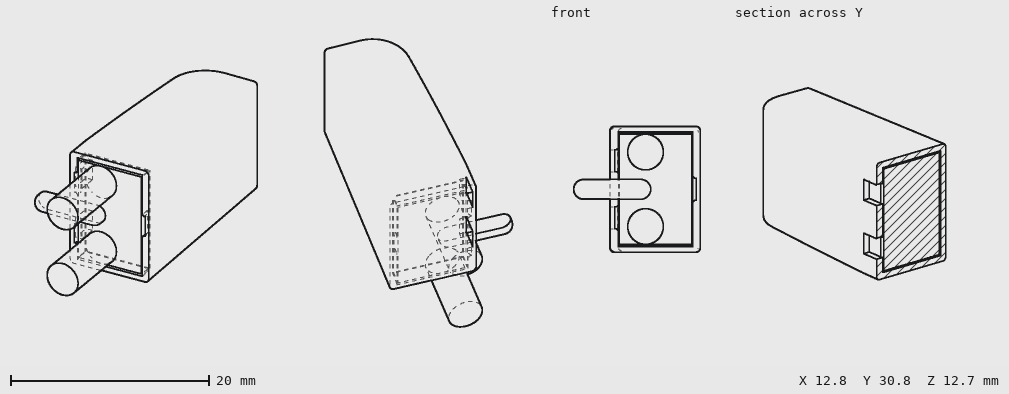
import cadquery as cq
import math

HOUSING_WIDTH = 9.13
HOUSING_HEIGHT = 12.7
HOUSING_LENGTH = 22.9
DRAFT = math.tan(math.radians(0.5))
BAND_LENGTH = 3.23
CROWN_SHIFT = 1.3
CROWN_BULGE = 0.12
NOSE_RADIUS = 4.0
END_FLAT_X = 5.1
END_DROP = 0.1
EDGE_RADIUS = 0.45

OPENING_X = 0.85
OPENING_WIDTH = 7.5
OPENING_HEIGHT = 11.55
SLIT = 0.1
LEAD_IN = 0.15
LEAD_IN_DEPTH = 0.92
GAP_DEPTH = 1.55

WINDOW_START = 1.1
WINDOW_HEIGHT = 2.2
WINDOW_DEPTH = 0.75
LATCH_OFFSET = 2.9
NOTCH_REACH = 0.37
NOTCH_HEIGHT = 2.58
NOTCH_CORNER = 0.18
LATCH_RAMP_LENGTH = 0.8
BACK_RAMP_LENGTH = 1.32

PIN_DIAMETER = 3.6
PIN_LENGTH = 7.85
PIN_X = 3.6
PIN_PITCH = 7.5
KEY_START_X = -3.65
KEY_LENGTH = 7.78
KEY_WIDTH = 2.0
KEY_STRAIGHT = 0.5

OPENING_END_X = OPENING_X + OPENING_WIDTH


def make_housing():
    """Drafted body with a crowned -X face and a large rounded nose."""
    lean = math.atan2(CROWN_SHIFT, HOUSING_LENGTH - BAND_LENGTH)
    crown_mid = (
        CROWN_SHIFT / 2 - CROWN_BULGE * math.cos(lean),
        (BAND_LENGTH + HOUSING_LENGTH) / 2 + CROWN_BULGE * math.sin(lean),
    )
    far_x = HOUSING_WIDTH - HOUSING_LENGTH * DRAFT
    prism = (
        cq.Workplane("XY")
        .moveTo(0, 0)
        .lineTo(0, BAND_LENGTH)
        .threePointArc(crown_mid, (CROWN_SHIFT, HOUSING_LENGTH))
        .lineTo(END_FLAT_X, HOUSING_LENGTH)
        .lineTo(far_x, HOUSING_LENGTH - END_DROP)
        .lineTo(HOUSING_WIDTH, 0)
        .close()
        .extrude(HOUSING_HEIGHT / 2, both=True)
    )
    nose_corner = cq.selectors.NearestToPointSelector((CROWN_SHIFT, HOUSING_LENGTH, 0))
    prism = prism.edges("|Z").edges(nose_corner).fillet(NOSE_RADIUS)

    half = HOUSING_HEIGHT / 2
    far_half = half - HOUSING_LENGTH * DRAFT
    wedge = (
        cq.Workplane("YZ")
        .polyline([(0, -half), (HOUSING_LENGTH, -far_half), (HOUSING_LENGTH, far_half), (0, half)])
        .close()
        .extrude(HOUSING_WIDTH)
    )
    housing = prism.intersect(wedge)
    far_corner = cq.selectors.NearestToPointSelector((far_x, HOUSING_LENGTH, 0))
    rims = housing.faces("<Z or >Z").edges("not <Y")
    return housing.newObject(rims.vals() + housing.edges(far_corner).vals()).fillet(EDGE_RADIUS)


def make_gap():
    """Slit around the plug, opened up at the mouth by sloping lead-ins above and below it."""
    center_x = OPENING_X + OPENING_WIDTH / 2
    plug_half = OPENING_HEIGHT / 2 - LEAD_IN - SLIT
    slit_half = plug_half + SLIT
    lead_in = [(0, OPENING_HEIGHT / 2), (LEAD_IN_DEPTH, slit_half), (GAP_DEPTH, slit_half)]
    mirrored = [(y, -z) for y, z in reversed(lead_in)]
    opening = (
        cq.Workplane("YZ", origin=(OPENING_X, 0, 0))
        .polyline(lead_in + mirrored)
        .close()
        .extrude(OPENING_WIDTH)
    )
    plug = cq.Workplane("XY").box(OPENING_WIDTH - 2 * SLIT, GAP_DEPTH, 2 * plug_half)
    return opening.cut(plug.translate((center_x, GAP_DEPTH / 2, 0)))


def make_notch(wall_x, direction, ramp_length):
    """Bevelled mouth notch cut outwards (+1 for +X, -1 for -X), sloping back in to the slit."""
    half = NOTCH_HEIGHT / 2
    outer_x = wall_x + direction * NOTCH_REACH
    bevel_x = outer_x - direction * NOTCH_REACH / 2
    inner_x = wall_x - direction * SLIT
    bevel = [(bevel_x, half - NOTCH_CORNER), (outer_x, half - NOTCH_CORNER)]
    side = [(inner_x, half), (wall_x, half)] + bevel
    mirrored = [(x, -z) for x, z in reversed(side)]
    outline = cq.Workplane("XZ").polyline(side + mirrored).close().extrude(-ramp_length)
    ramp = (
        cq.Workplane("XY")
        .polyline([(inner_x, 0), (outer_x, 0), (inner_x, ramp_length)])
        .close()
        .extrude(half, both=True)
    )
    return outline.intersect(ramp)


def make_window():
    """Latch window in the -X face, ending where the straight band ends."""
    length = BAND_LENGTH - WINDOW_START
    return cq.Workplane("XY").box(WINDOW_DEPTH, length, WINDOW_HEIGHT).translate(
        (WINDOW_DEPTH / 2, WINDOW_START + length / 2, 0)
    )


def make_key():
    """Bar with a half-round top and ball-shaped ends, standing on the mouth."""
    radius = KEY_WIDTH / 2
    center_x = KEY_START_X + KEY_LENGTH / 2
    span = KEY_LENGTH - KEY_WIDTH
    start_x = center_x - span / 2
    end_x = center_x + span / 2
    bend = radius * math.sqrt(0.5)
    base = cq.Workplane("XZ").center(center_x, 0).slot2D(KEY_LENGTH, KEY_WIDTH).extrude(KEY_STRAIGHT)
    rounded_top = (
        cq.Workplane("XY", origin=(0, -KEY_STRAIGHT, 0))
        .moveTo(KEY_START_X, 0)
        .threePointArc((start_x - bend, -bend), (start_x, -radius))
        .lineTo(end_x, -radius)
        .threePointArc((end_x + bend, -bend), (KEY_START_X + KEY_LENGTH, 0))
        .close()
        .revolve(180, (0, 0), (1, 0))
    )
    rounded_top = rounded_top.rotate((0, -KEY_STRAIGHT, 0), (1, -KEY_STRAIGHT, 0), -90)
    return base.union(rounded_top)


result = make_housing().cut(make_gap()).cut(make_notch(OPENING_END_X, 1, BACK_RAMP_LENGTH))
for side in (-1, 1):
    offset = (0, 0, side * LATCH_OFFSET)
    result = result.cut(make_notch(OPENING_X, -1, LATCH_RAMP_LENGTH).translate(offset))
    result = result.cut(make_window().translate(offset))

result = result.union(make_key())
pin = cq.Workplane("XZ").center(PIN_X, 0).circle(PIN_DIAMETER / 2).extrude(PIN_LENGTH)
for side in (-1, 1):
    result = result.union(pin.translate((0, 0, side * PIN_PITCH / 2)))